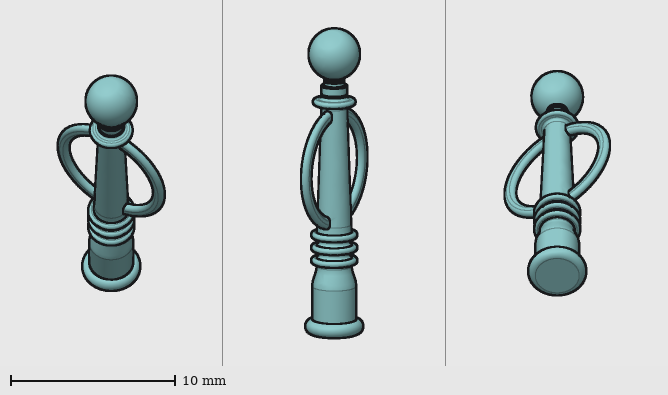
import cadquery as cq
import math

total_height = 19.05

foot_radius = 1.785
foot_height = 0.89
foot_round = foot_height / 2

pedestal_radius = 1.355
pedestal_top_z = 2.95
collar_radius = 1.08
shoulder_top_z = 4.2

bead_radius = 1.42
bead_round = 0.2
bead_count = 3
bead_pitch = 0.8
lowest_bead_z = 4.56
groove_radius = 0.96

column_bottom_radius = 1.05
column_top_radius = 0.80
column_bottom_z = 6.82

top_bead_radius = 1.315
top_bead_round = 0.19
top_bead_z = 14.475
top_flare_radius = 0.96
top_flare_height = 0.2
column_top_z = top_bead_z - top_bead_round - top_flare_height
undercut_radius = 0.75
undercut_height = 0.06

drum_radius = column_top_radius
drum_bottom_z = 14.98
drum_top_z = 15.53
drum_chamfer = 0.06
neck_radius = 0.63
neck_groove_radius = 0.5
neck_groove_bottom_z = 15.75
neck_groove_top_z = 15.87

ball_radius = 1.5875
ball_z = total_height - ball_radius

ring_outer_radius = 3.795
ring_radial_width = 0.78
ring_thickness = 0.55
ring_z = 10.34

diagonal = math.sqrt(0.5)


def add_bead(profile, tip_radius, round_radius, center_z):
    """Continue an upward profile with a half-round bead."""
    root_radius = tip_radius - round_radius
    return (
        profile
        .lineTo(root_radius, center_z - round_radius)
        .threePointArc((tip_radius, center_z), (root_radius, center_z + round_radius))
    )


def make_lower_post():
    """Foot, pedestal, shoulder, three beads and the tapered column."""
    foot_flat_radius = foot_radius - foot_round
    profile = (
        cq.Workplane("XZ")
        .lineTo(foot_flat_radius, 0)
        .threePointArc((foot_radius, foot_round), (foot_flat_radius, foot_height))
        .lineTo(pedestal_radius, foot_height)
        .lineTo(pedestal_radius, pedestal_top_z)
        .spline([(collar_radius, shoulder_top_z)], tangents=[(0, 1), (0, 1)], includeCurrent=True)
        .lineTo(collar_radius, lowest_bead_z - bead_round)
    )
    for index in range(bead_count):
        center_z = lowest_bead_z + index * bead_pitch
        profile = add_bead(profile, bead_radius, bead_round, center_z)
        profile = profile.lineTo(collar_radius, center_z + bead_round)
        if index < bead_count - 1:
            profile = profile.threePointArc(
                (groove_radius, center_z + bead_pitch / 2),
                (collar_radius, center_z + bead_pitch - bead_round),
            )
    return (
        profile
        .lineTo(column_bottom_radius, column_bottom_z)
        .lineTo(column_top_radius, column_top_z)
        .lineTo(0, column_top_z)
        .close()
        .revolve(360, (0, 0, 0), (0, 1, 0))
    )


def make_upper_post():
    """Flared collar bead, drum and grooved neck, ending inside the ball."""
    bead_bottom_z = top_bead_z - top_bead_round
    bead_top_z = top_bead_z + top_bead_round
    flare_top_z = bead_top_z + top_flare_height
    flare_middle_radius = top_flare_radius - (top_flare_radius - column_top_radius) * diagonal
    flare_middle_rise = top_flare_height * (1 - diagonal)
    profile = (
        cq.Workplane("XZ")
        .moveTo(0, column_top_z)
        .lineTo(column_top_radius, column_top_z)
        .threePointArc(
            (flare_middle_radius, bead_bottom_z - flare_middle_rise),
            (top_flare_radius, bead_bottom_z),
        )
    )
    profile = add_bead(profile, top_bead_radius, top_bead_round, top_bead_z)
    return (
        profile
        .lineTo(top_flare_radius, bead_top_z)
        .threePointArc(
            (flare_middle_radius, bead_top_z + flare_middle_rise),
            (column_top_radius, flare_top_z),
        )
        .lineTo(undercut_radius, flare_top_z)
        .lineTo(undercut_radius, flare_top_z + undercut_height)
        .lineTo(drum_radius, drum_bottom_z)
        .lineTo(drum_radius, drum_top_z - drum_chamfer)
        .lineTo(drum_radius - drum_chamfer, drum_top_z)
        .lineTo(neck_radius, drum_top_z)
        .lineTo(neck_radius, neck_groove_bottom_z)
        .lineTo(neck_groove_radius, neck_groove_bottom_z)
        .lineTo(neck_groove_radius, neck_groove_top_z)
        .lineTo(neck_radius, neck_groove_top_z)
        .lineTo(neck_radius, ball_z)
        .lineTo(0, ball_z)
        .close()
        .revolve(360, (0, 0, 0), (0, 1, 0))
    )


def make_ball():
    """Ball finial."""
    return cq.Workplane("XY").sphere(ball_radius).translate((0, 0, ball_z))


def make_ring():
    """Ring lying in the XZ plane, turned about the Y axis."""
    center_radius = ring_outer_radius - ring_radial_width / 2
    return (
        cq.Workplane("XY")
        .center(center_radius, 0)
        .slot2D(ring_radial_width, ring_thickness)
        .revolve(360, (-center_radius, 0, 0), (-center_radius, 1, 0))
        .translate((0, 0, ring_z))
    )


result = make_lower_post().union(make_upper_post()).union(make_ball()).union(make_ring())